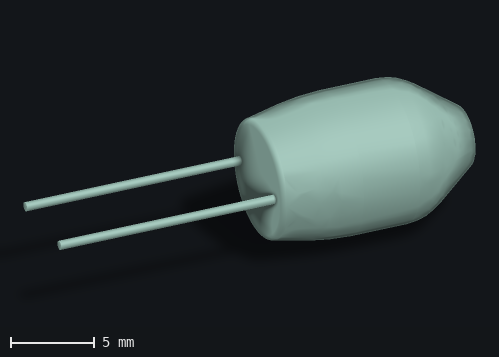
import cadquery as cq

body_radius = 4.45
base_radius = 3.75
base_corner_radius = 0.35
band_start = 5.0
band_end = 8.65
body_length = 13.5

skirt_slope = 0.19

nose_shoulder_radius = 3.42
nose_shoulder_y = 11.2
tip_bend_radius = 2.13
tip_bend_y = 13.06
tip_flat_radius = 1.4

lead_diameter = 0.56
lead_spacing = 5.08
lead_length = 13.96


def make_body():
    """Turn the bead profile (X is the radius) about the Y axis."""
    profile = (
        cq.Workplane("XY")
        .lineTo(base_radius - base_corner_radius, 0)
        .tangentArcPoint((base_radius, base_corner_radius), relative=False)
        .spline(
            [(body_radius, band_start)],
            tangents=[(skirt_slope, 1), (0, 1)],
            includeCurrent=True,
        )
        .lineTo(body_radius, band_end)
        .spline(
            [
                (nose_shoulder_radius, nose_shoulder_y),
                (tip_bend_radius, tip_bend_y),
                (tip_flat_radius, body_length),
            ],
            tangents=[(0, 1), (-1, 0)],
            includeCurrent=True,
        )
        .lineTo(0, body_length)
        .close()
    )
    return profile.revolve(360, (0, 0, 0), (0, 1, 0))


def make_leads():
    """Two straight round wires leaving the base towards -Y."""
    return (
        cq.Workplane("XZ")
        .pushPoints([(side * lead_spacing / 2, 0) for side in (-1, 1)])
        .circle(lead_diameter / 2)
        .extrude(lead_length)
    )


result = make_body().union(make_leads())